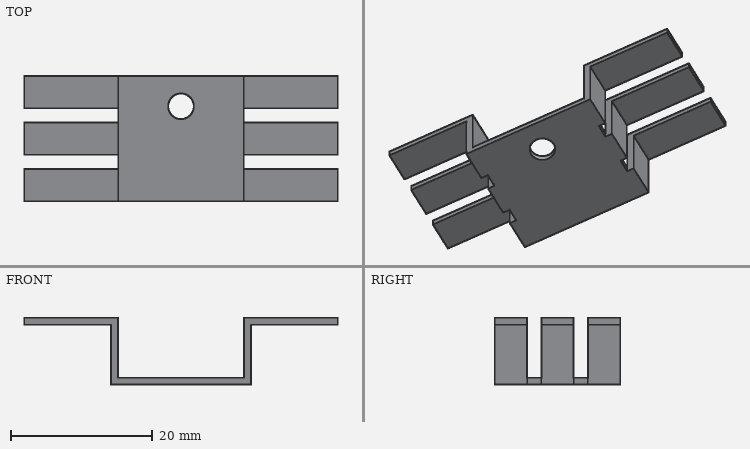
import cadquery as cq

length = 44.45
width = 17.8
height = 9.5
thickness = 1.02
channel_width = 17.8
fin_count = 3
fin_gap = 2.0
hole_diameter = 3.6
hole_y = 4.6

fin_width = (width - (fin_count - 1) * fin_gap) / fin_count
fin_pitch = fin_width + fin_gap
wing_length = (length - channel_width) / 2
wall_center_x = (channel_width + thickness) / 2
wing_center_x = (channel_width + wing_length) / 2


def block(size_x, size_y, size_z, x, y, z_bottom):
    """Box centred on x and y, standing on z_bottom."""
    return (
        cq.Workplane("XY")
        .box(size_x, size_y, size_z, centered=(True, True, False))
        .translate((x, y, z_bottom))
    )


def fin(side, y):
    """Upright wall strip with a wing bent outward at its top."""
    wall = block(thickness, fin_width, height, side * wall_center_x, y, 0)
    wing = block(wing_length, fin_width, thickness, side * wing_center_x, y, height - thickness)
    return wall.union(wing)


result = block(channel_width, width, thickness, 0, 0, 0)

for side in (-1, 1):
    for index in range(fin_count):
        fin_y = (index - (fin_count - 1) / 2) * fin_pitch
        result = result.union(fin(side, fin_y))

hole = cq.Workplane("XY").center(0, hole_y).circle(hole_diameter / 2).extrude(thickness)
result = result.cut(hole)